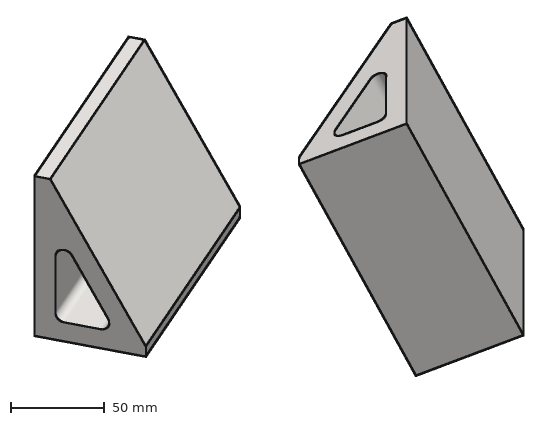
import cadquery as cq
import math

width = 63.0
length = 150.0
height = 100.0

top_land = 9.0
slope_angle = math.radians(60)
toe_height = height - (width - top_land) * math.tan(slope_angle)

wall = 12.0
corner_radius = 5.0

slope_shift = wall / math.sin(slope_angle)
slope_foot = width + toe_height / math.tan(slope_angle) - slope_shift
window_right = slope_foot - wall / math.tan(slope_angle)
window_top = (slope_foot - wall) * math.tan(slope_angle)


def make_wedge():
    """Right-angled wedge with blunted top and toe, extruded along Y."""
    outline = [(0, 0), (width, 0), (width, toe_height), (top_land, height), (0, height)]
    return cq.Workplane("XZ").polyline(outline).close().extrude(-length)


def make_window():
    """Rounded triangular prism running the full length of the wedge."""
    outline = [(wall, wall), (window_right, wall), (wall, window_top)]
    prism = cq.Workplane("XZ").polyline(outline).close().extrude(-length)
    return prism.edges("|Y").fillet(corner_radius)


result = make_wedge().cut(make_window())